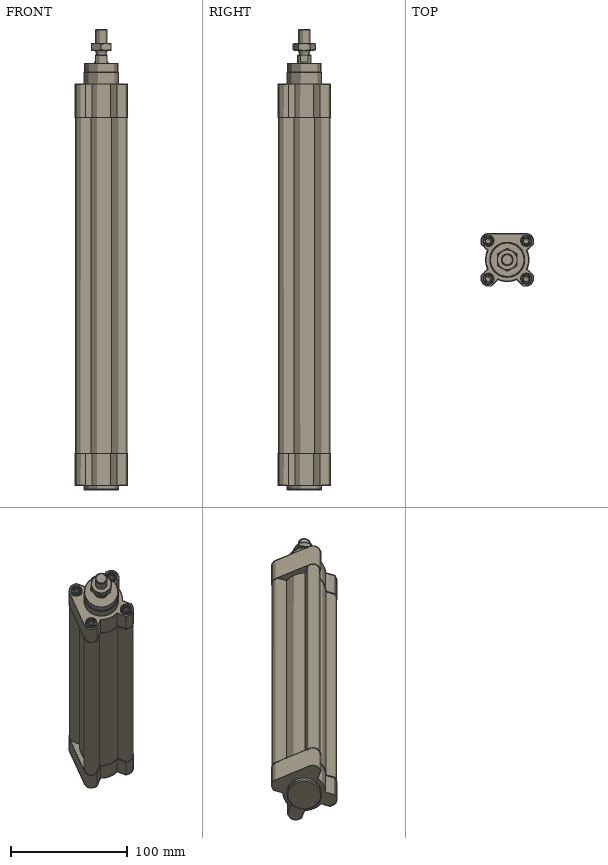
import cadquery as cq
import math


total_height = 395.1
rear_spigot_height = 4.0
rear_head_height = 27.5
front_head_height = 28.5
collar_height = 18.0
rod_projection = 29.0

collar_top = total_height - rod_projection
front_head_top = collar_top - collar_height
barrel_top = front_head_top - front_head_height
barrel_bottom = rear_spigot_height + rear_head_height

bolt_spacing = 32.5
bolt_offset = bolt_spacing / 2
head_width = 45.0
head_rib_width = 12.5
head_bulge_diameter = 36.6
barrel_width = 44.4
barrel_rib_width = 10.9
barrel_bulge_diameter = 37.3
barrel_rib_fillet = 1.7
edge_tolerance = 0.01

barrel_recess_turns = (0, 90, 180, 270)
head_recess_turns = (0, 90, 270)

spigot_diameter = 30.0
spigot_chamfer = 1.0
collar_neck_diameter = 28.7
collar_neck_length = 7.3
collar_taper_length = 0.8

bolt_recess_diameter = 9.5
bolt_head_depth = 1.0
bolt_recess_depth = 2.0
bolt_head_diameter = 8.2
bolt_socket_diameter = 4.92
bolt_socket_mouth = 6.0
bolt_socket_depth = 10.0
bolt_socket_tip_angle = 118.0

rod_diameter = 12.0
rod_chamfer = 0.5
rod_socket_depth = 30.0
rod_flats_width = 10.0
rod_flats_margin = 1.0
thread_diameter = 10.0
thread_tip_diameter = 8.8
thread_section_length = 22.0
undercut_diameter = 8.57
undercut_length = 1.4
undercut_taper_length = 2.6

rod_shoulder = total_height - thread_section_length
rod_bottom = collar_top - rod_socket_depth

nut_width = 17.0
nut_thickness = 6.0
nut_top_offset = 12.0
nut_face_diameter = 16.9
nut_chamfer_angle = 30.0

nut_bottom = total_height - nut_top_offset - nut_thickness
nut_sides = 6
nut_corner_diameter = nut_width / math.cos(math.pi / nut_sides)


def turned(profile):
    """Solid of revolution about Z from (radius, height) points, closed along the axis."""
    points = [(0, profile[0][1]), *profile, (0, profile[-1][1])]
    return cq.Workplane("XZ").polyline(points).close().revolve(360, (0, 0), (0, 1))


def distance_from_axis(edge):
    center = edge.Center()
    return math.hypot(center.x, center.y)


def profile_block(bottom, top, width, rib_width, bulge_diameter, recess_turns, rib_fillet=0):
    """Square block with rounded corners, cut back on the given sides to 45-degree ribs and a bulge."""
    height = top - bottom
    half_width = width / 2
    bulge_radius = bulge_diameter / 2
    flank_shift = rib_width / 2 * math.sqrt(2)
    mouth_x = half_width - flank_shift
    root_x = (math.sqrt(2 * bulge_radius**2 - flank_shift**2) - flank_shift) / 2
    root_y = -(root_x + flank_shift)

    block = (
        cq.Workplane()
        .rect(width, width)
        .extrude(height)
        .edges("|Z")
        .fillet(half_width - bolt_offset)
    )
    recess = (
        cq.Workplane()
        .moveTo(-mouth_x, -half_width)
        .lineTo(-root_x, root_y)
        .threePointArc((0, -bulge_radius), (root_x, root_y))
        .lineTo(mouth_x, -half_width)
        .close()
        .extrude(height)
    )
    for turn in recess_turns:
        block = block.cut(recess.rotate((0, 0, 0), (0, 0, 1), turn))
    if rib_fillet:
        rib_edge_distance = math.hypot(mouth_x, half_width)
        upright_edges = block.edges("|Z")
        rib_edges = upright_edges.filter(
            lambda edge: abs(distance_from_axis(edge) - rib_edge_distance) < edge_tolerance
        )
        block = rib_edges.fillet(rib_fillet)
    return block.translate((0, 0, bottom))


def head(bottom, top):
    return profile_block(bottom, top, head_width, head_rib_width, head_bulge_diameter, head_recess_turns)


def bolt_cavity():
    """Space around and inside one bolt head, with the front face of the head at height 0."""
    recess_radius = bolt_recess_diameter / 2
    mouth_radius = bolt_socket_mouth / 2
    socket_radius = bolt_socket_diameter / 2
    mouth_depth = mouth_radius - socket_radius
    tip_depth = socket_radius / math.tan(math.radians(bolt_socket_tip_angle / 2))

    recess = cq.Workplane().circle(recess_radius).extrude(-bolt_recess_depth)
    bolt_head = (
        cq.Workplane(origin=(0, 0, -bolt_recess_depth))
        .circle(bolt_head_diameter / 2)
        .extrude(bolt_recess_depth - bolt_head_depth)
    )
    socket = (
        cq.Workplane("XZ")
        .moveTo(0, -bolt_head_depth)
        .lineTo(mouth_radius, -bolt_head_depth)
        .lineTo(socket_radius, -bolt_head_depth - mouth_depth)
        .lineTo(socket_radius, -bolt_socket_depth)
        .lineTo(0, -bolt_socket_depth - tip_depth)
        .close()
        .revolve(360, (0, 0), (0, 1))
    )
    return recess.cut(bolt_head).union(socket)


def make_housing():
    spigot_radius = spigot_diameter / 2
    neck_radius = collar_neck_diameter / 2
    neck_bottom = collar_top - collar_neck_length

    rear_spigot = turned(
        [
            (spigot_radius - spigot_chamfer, 0),
            (spigot_radius, spigot_chamfer),
            (spigot_radius, rear_spigot_height),
        ]
    )
    collar = turned(
        [
            (spigot_radius, front_head_top),
            (spigot_radius, neck_bottom - collar_taper_length),
            (neck_radius, neck_bottom),
            (neck_radius, collar_top),
        ]
    )
    barrel = profile_block(
        barrel_bottom,
        barrel_top,
        barrel_width,
        barrel_rib_width,
        barrel_bulge_diameter,
        barrel_recess_turns,
        barrel_rib_fillet,
    )
    rod_socket = cq.Workplane(origin=(0, 0, rod_bottom)).circle(rod_diameter / 2).extrude(rod_socket_depth)

    body = (
        rear_spigot.union(head(rear_spigot_height, barrel_bottom))
        .union(barrel)
        .union(head(barrel_top, front_head_top))
        .union(collar)
        .cut(rod_socket)
    )
    for x in (-bolt_offset, bolt_offset):
        for y in (-bolt_offset, bolt_offset):
            body = body.cut(bolt_cavity().translate((x, y, front_head_top)))
    return body


def make_rod():
    rod_radius = rod_diameter / 2
    thread_radius = thread_diameter / 2
    tip_radius = thread_tip_diameter / 2
    undercut_radius = undercut_diameter / 2
    undercut_top = rod_shoulder + undercut_length

    shank = turned(
        [
            (rod_radius, rod_bottom),
            (rod_radius, rod_shoulder - rod_chamfer),
            (rod_radius - rod_chamfer, rod_shoulder),
        ]
    )
    flats_bottom = collar_top + rod_flats_margin
    for side in (-1, 1):
        flat_cut = (
            cq.Workplane(origin=(side * (rod_flats_width + rod_diameter) / 2, 0, flats_bottom))
            .rect(rod_diameter, rod_diameter)
            .extrude(rod_shoulder - flats_bottom)
        )
        shank = shank.cut(flat_cut)
    thread = turned(
        [
            (undercut_radius, rod_shoulder),
            (undercut_radius, undercut_top),
            (thread_radius, undercut_top + undercut_taper_length),
            (thread_radius, total_height - (thread_radius - tip_radius)),
            (tip_radius, total_height),
        ]
    )
    return shank.union(thread)


def make_nut():
    face_radius = nut_face_diameter / 2
    corner_radius = nut_corner_diameter / 2
    chamfer_height = (corner_radius - face_radius) * math.tan(math.radians(nut_chamfer_angle))

    hexagon = (
        cq.Workplane()
        .polygon(nut_sides, nut_corner_diameter)
        .extrude(nut_thickness)
        .rotate((0, 0, 0), (0, 0, 1), 180 / nut_sides)
    )
    chamfered_blank = turned(
        [
            (face_radius, 0),
            (corner_radius, chamfer_height),
            (corner_radius, nut_thickness - chamfer_height),
            (face_radius, nut_thickness),
        ]
    )
    return hexagon.intersect(chamfered_blank).translate((0, 0, nut_bottom))


housing = make_housing()
rod = make_rod()
nut = make_nut().cut(rod)

result = cq.Compound.makeCompound([housing.val(), rod.val(), nut.val()])